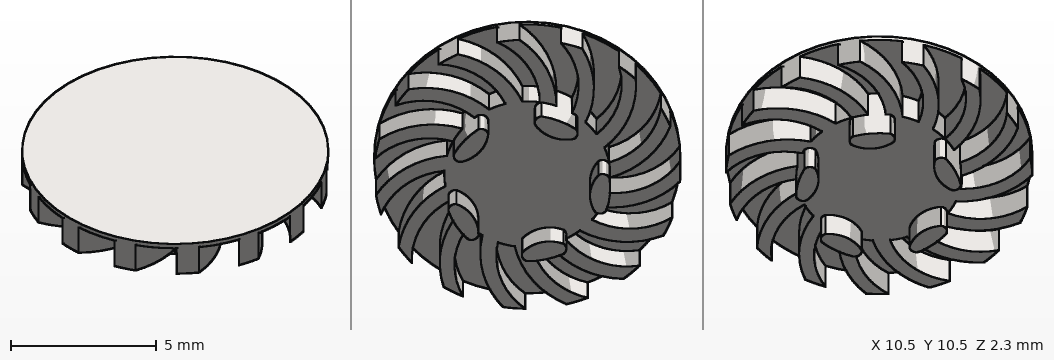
import cadquery as cq
import math

disc_diameter = 10.5
disc_thickness = 0.19
blade_bottom = 1.29
foot_bottom = 2.3

blade_count = 15
blade_pitch = 360 / blade_count
blade_tip_angle = 8.4
first_blade_angle = 180.0

leading_middle = (4.36, 0.74)
leading_inner = (2.57, 1.13)
trailing_middle = (4.48, 0.67)
trailing_inner = (2.65, 0.97)

foot_count = 5
foot_pitch = 360 / foot_count
first_foot_angle = 90.0
foot_outer_radius = 2.85
foot_outer_half_angle = 13.0
foot_inner_radius = 2.16
foot_end_middle = (2.61, 0.77)
foot_inner_corner = (2.39, 0.72)


def turned(point, angle):
    """Rotate a point about the disc axis by an angle in degrees."""
    x, y = point
    cosine = math.cos(math.radians(angle))
    sine = math.sin(math.radians(angle))
    return (x * cosine - y * sine, x * sine + y * cosine)


def mirrored(point):
    """Reflect a point across the X axis."""
    return (point[0], -point[1])


def make_disc():
    return cq.Workplane("XY").circle(disc_diameter / 2).extrude(-disc_thickness)


def make_hub():
    """Core that the blades run into, flush with the outer faces of the feet."""
    return cq.Workplane("XY").circle(foot_outer_radius).extrude(-blade_bottom)


def make_blade():
    """One swept blade, its tip flush with the rim and centred on the +X axis."""
    tip = (disc_diameter / 2, 0)
    half_tip = blade_tip_angle / 2
    return (
        cq.Workplane("XY")
        .moveTo(*turned(tip, -half_tip))
        .threePointArc(tip, turned(tip, half_tip))
        .threePointArc(turned(leading_middle, half_tip), turned(leading_inner, half_tip))
        .lineTo(*turned(trailing_inner, -half_tip))
        .threePointArc(turned(trailing_middle, -half_tip), turned(tip, -half_tip))
        .close()
        .extrude(-blade_bottom)
    )


def make_foot():
    """One foot centred on the +X axis, with bulged ends and a convex inner face."""
    outer_middle = (foot_outer_radius, 0)
    outer_corner = turned(outer_middle, foot_outer_half_angle)
    return (
        cq.Workplane("XY")
        .moveTo(*mirrored(outer_corner))
        .threePointArc(outer_middle, outer_corner)
        .threePointArc(foot_end_middle, foot_inner_corner)
        .threePointArc((foot_inner_radius, 0), mirrored(foot_inner_corner))
        .threePointArc(mirrored(foot_end_middle), mirrored(outer_corner))
        .close()
        .extrude(-foot_bottom)
    )


def ring_of(shape, count, pitch, start_angle):
    """Copies of a shape at an even pitch around the disc axis."""
    copies = cq.Workplane("XY")
    for index in range(count):
        copies = copies.add(shape.rotate((0, 0, 0), (0, 0, 1), start_angle + index * pitch))
    return copies.combine()


blades = ring_of(make_blade(), blade_count, blade_pitch, first_blade_angle)
feet = ring_of(make_foot(), foot_count, foot_pitch, first_foot_angle)
result = make_disc().union(make_hub()).union(blades).union(feet).clean()